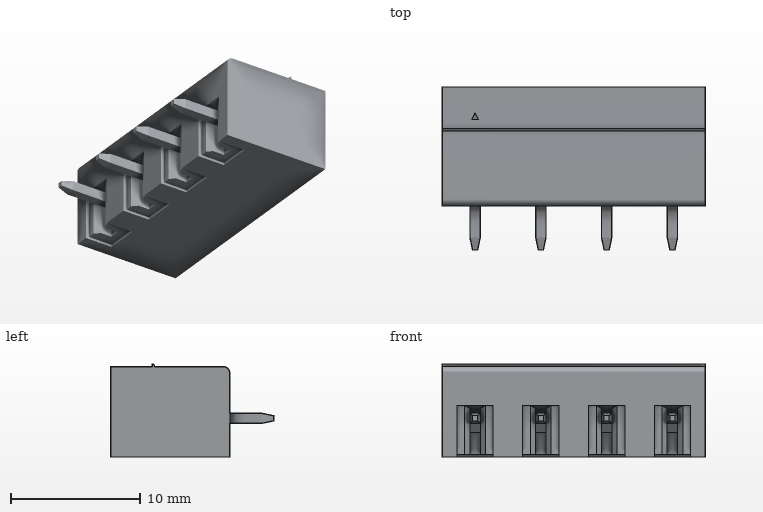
import cadquery as cq
import math

pole_count = 4
pitch = 5.08
body_length = pole_count * pitch
pole_positions = [(i - (pole_count - 1) / 2) * pitch for i in range(pole_count)]

body_depth = 9.2
body_height = 7.0
front_edge_radius = 0.5
rib_size = 0.2
rib_back_y = 6.0

pin_size = 0.8
pin_height = 3.0
pin_straight = 2.46
tip_length = 0.94
tip_size = 0.4
pin_top = pin_height + pin_size / 2
pin_bottom = pin_height - pin_size / 2

pocket_width = 2.8
pocket_top = 4.0
recess_depth = 0.3
slot_width = pin_size
mouth_flare = 0.4
mouth_width = slot_width + 2 * mouth_flare
mouth_end_y = recess_depth + mouth_flare
roof_angle = math.radians(30)
floor_angle = math.radians(45)
slot_wall_y = 1.7
slot_wall_top = 1.9
throat_y = recess_depth + (pocket_top - pin_top) / math.tan(roof_angle)
slot_end_y = slot_wall_y + (pin_bottom - slot_wall_top) / math.tan(floor_angle)

groove_height = 0.2
groove_end_y = slot_end_y

mark_width = 0.5
mark_height = 0.5
mark_base_y = 6.7
mark_depth = 0.1


def box(width, y_start, y_end, z_start, z_end):
    """Block centred on X = 0 between the given Y and Z limits."""
    size_y = y_end - y_start
    size_z = z_end - z_start
    block = cq.Workplane("XY").box(width, size_y, size_z, centered=(True, False, False))
    return block.translate((0, y_start, z_start))


def make_housing():
    housing = box(body_length, 0, body_depth, 0, body_height)
    return housing.edges(">Z and <Y").fillet(front_edge_radius)


def make_rib():
    """Quarter-round rib along the top, upright on its back side."""
    rib_front_y = rib_back_y - rib_size
    rib_top = body_height + rib_size
    arc_offset = rib_size * math.sqrt(0.5)
    arc_middle = (rib_back_y - arc_offset, body_height + arc_offset)
    return (
        cq.Workplane("YZ", origin=(-body_length / 2, 0, 0))
        .moveTo(rib_back_y, body_height)
        .lineTo(rib_back_y, rib_top)
        .threePointArc(arc_middle, (rib_front_y, body_height))
        .close()
        .extrude(body_length)
    )


def make_slot():
    """Flared slot behind the recess, narrowing to the pin between two slopes."""
    side_outline = [
        (recess_depth, 0),
        (recess_depth, pocket_top),
        (throat_y, pin_top),
        (slot_end_y, pin_top),
        (slot_end_y, pin_bottom),
        (slot_wall_y, slot_wall_top),
        (slot_wall_y, 0),
    ]
    plan_outline = [
        (-mouth_width / 2, recess_depth),
        (-slot_width / 2, mouth_end_y),
        (-slot_width / 2, slot_end_y),
        (slot_width / 2, slot_end_y),
        (slot_width / 2, mouth_end_y),
        (mouth_width / 2, recess_depth),
    ]
    side = cq.Workplane("YZ").polyline(side_outline).close().extrude(mouth_width / 2, both=True)
    plan = cq.Workplane("XY").polyline(plan_outline).close().extrude(pocket_top)
    return side.intersect(plan)


def make_pocket():
    recess = box(pocket_width, 0, recess_depth, 0, pocket_top)
    groove = box(pocket_width, 0, groove_end_y, 0, groove_height)
    return recess.union(make_slot()).union(groove)


def make_pin():
    """Square pin anchored in the housing, with a tapered tip."""
    shank = box(pin_size, -pin_straight, slot_end_y, pin_bottom, pin_top)
    tip = (
        cq.Workplane("XZ", origin=(0, -pin_straight, pin_height))
        .rect(pin_size, pin_size)
        .workplane(offset=tip_length)
        .rect(tip_size, tip_size)
        .loft(ruled=True)
    )
    return shank.union(tip)


def make_mark():
    outline = [
        (-mark_width / 2, mark_base_y),
        (mark_width / 2, mark_base_y),
        (0, mark_base_y + mark_height),
    ]
    floor_z = body_height - mark_depth
    return cq.Workplane("XY", origin=(0, 0, floor_z)).polyline(outline).close().extrude(mark_depth)


result = make_housing().union(make_rib())
result = result.cut(make_mark().translate((pole_positions[0], 0, 0)))
for x in pole_positions:
    result = result.cut(make_pocket().translate((x, 0, 0)))
    result = result.union(make_pin().translate((x, 0, 0)))